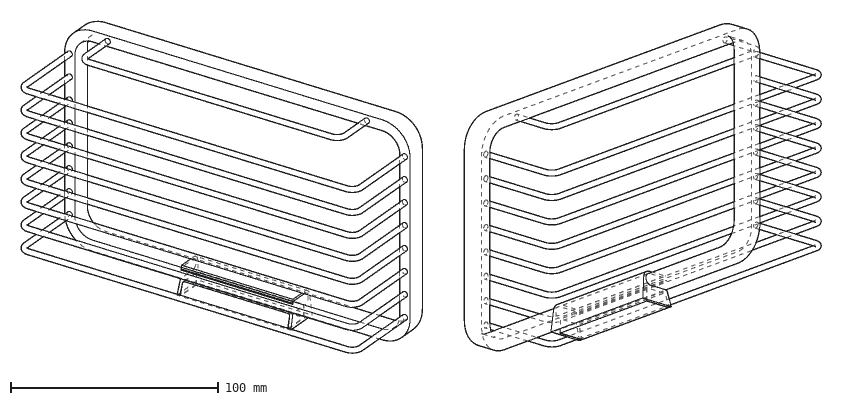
import cadquery as cq
import math


frame_width = 200.0
frame_height = 120.0
frame_depth = 13.0
bar_thickness = 6.0
frame_corner_radius = 16.0
frame_back_round = 3.0
opening_back_round = 2.8

wire_diameter = 3.0
wire_bend_radius = 5.0
wire_embed = 2.0
basket_wire_count = 8
basket_height = 87.5
basket_wire_reach = 45.0
rail_half_span = 75.0
rail_reach = 25.0

clip_bottom_width = 66.0
clip_top_width = 64.5
clip_drop = 8.0
clip_cover = 1.2
clip_back_bottom = 15.5
clip_back_top = 14.0
clip_back_round = 4.0
clip_front_bottom = -3.0
lip_thickness = 0.5
lip_height = 0.5
lip_overlap = 1.2

insert_width = 62.0
insert_top_gap = 0.8
insert_corner_radius = 1.0
clip_wall = 1.8

clip_top = bar_thickness + clip_cover
clip_height = clip_drop + clip_top
basket_wire_pitch = basket_height / (basket_wire_count - 1)
lip_bottom = bar_thickness - lip_overlap
insert_top = -insert_top_gap
insert_back = frame_depth - clip_wall
end_slope = (clip_bottom_width - clip_top_width) / 2 / clip_height


def make_ring():
    """Rounded rectangular frame with its outer and inner rear edges rounded."""
    middle_z = frame_height / 2
    outer = (
        cq.Workplane("XZ", origin=(0, 0, middle_z))
        .rect(frame_width, frame_height)
        .extrude(-frame_depth)
        .edges("|Y")
        .fillet(frame_corner_radius)
    )
    opening = (
        cq.Workplane("XZ", origin=(0, 0, middle_z))
        .rect(frame_width - 2 * bar_thickness, frame_height - 2 * bar_thickness)
        .extrude(-frame_depth)
        .edges("|Y")
        .fillet(frame_corner_radius - bar_thickness)
    )
    ring = outer.faces(">Y").edges().fillet(frame_back_round).cut(opening)
    return ring.faces(">Y").wires(cq.selectors.AreaNthSelector(0)).edges().fillet(opening_back_round)


def make_wire(half_span, reach, height):
    """U-shaped round wire that starts inside the frame and stands out to the front."""
    front = wire_diameter / 2 - reach
    bend_inset = wire_bend_radius * (1 - math.sqrt(0.5))
    path = (
        cq.Workplane("XY", origin=(0, 0, height))
        .moveTo(-half_span, wire_embed)
        .lineTo(-half_span, front + wire_bend_radius)
        .threePointArc((-half_span + bend_inset, front + bend_inset), (-half_span + wire_bend_radius, front))
        .lineTo(half_span - wire_bend_radius, front)
        .threePointArc((half_span - bend_inset, front + bend_inset), (half_span, front + wire_bend_radius))
        .lineTo(half_span, wire_embed)
    )
    section = cq.Workplane("XZ", origin=(-half_span, wire_embed, height)).circle(wire_diameter / 2)
    return section.sweep(path)


def make_rack(ring):
    """Frame with the basket wires and the upper rail joined to it."""
    rack = ring
    basket_half_span = (frame_width - bar_thickness) / 2
    lowest_wire = (frame_height - basket_height) / 2
    for index in range(basket_wire_count):
        height = lowest_wire + index * basket_wire_pitch
        rack = rack.union(make_wire(basket_half_span, basket_wire_reach, height))
    return rack.union(make_wire(rail_half_span, rail_reach, frame_height - bar_thickness / 2))


def make_clip_block():
    """Clip outline across X, with ends that lean inward towards the top."""
    block = (
        cq.Workplane("YZ")
        .moveTo(clip_front_bottom, -clip_drop)
        .lineTo(clip_back_bottom, -clip_drop)
        .lineTo(clip_back_top, clip_top)
        .lineTo(0, clip_top)
        .lineTo(-lip_thickness, lip_bottom + lip_height)
        .lineTo(-lip_thickness, lip_bottom)
        .lineTo(0, lip_bottom)
        .lineTo(0, 0)
        .lineTo(-lip_thickness, 0)
        .close()
        .extrude(clip_bottom_width / 2, both=True)
        .edges("|X")
        .edges(">Z")
        .edges(">Y")
        .fillet(clip_back_round)
    )
    ends = (
        cq.Workplane("XZ", origin=(0, clip_back_bottom, 0))
        .moveTo(-clip_bottom_width / 2, -clip_drop)
        .lineTo(clip_bottom_width / 2, -clip_drop)
        .lineTo(clip_top_width / 2, clip_top)
        .lineTo(-clip_top_width / 2, clip_top)
        .close()
        .extrude(clip_back_bottom - clip_front_bottom)
    )
    return block.intersect(ends)


def make_prism(top_width, bottom_width):
    """Block below the frame with rounded upper corners, as deep as the insert."""
    return (
        cq.Workplane("XZ", origin=(0, insert_back, 0))
        .moveTo(-bottom_width / 2, -clip_drop)
        .lineTo(bottom_width / 2, -clip_drop)
        .lineTo(top_width / 2, insert_top)
        .lineTo(-top_width / 2, insert_top)
        .close()
        .extrude(insert_back - clip_front_bottom)
        .edges("|Y and >Z")
        .fillet(insert_corner_radius)
    )


def make_clip(ring):
    """Clip hooked over the lower bar, with a recess for the insert."""
    recess_bottom_width = insert_width + 2 * end_slope * (clip_drop + insert_top)
    recess = make_prism(insert_width, recess_bottom_width)
    return make_clip_block().cut(ring).cut(recess)


def make_insert():
    """Straight-sided insert whose front lies flush with the sloping front of the clip."""
    return make_prism(insert_width, insert_width).intersect(make_clip_block())


frame_ring = make_ring()
rack = make_rack(frame_ring)
clip = make_clip(frame_ring)
insert = make_insert()

result = cq.Compound.makeCompound([rack.solids().val(), clip.solids().val(), insert.solids().val()])